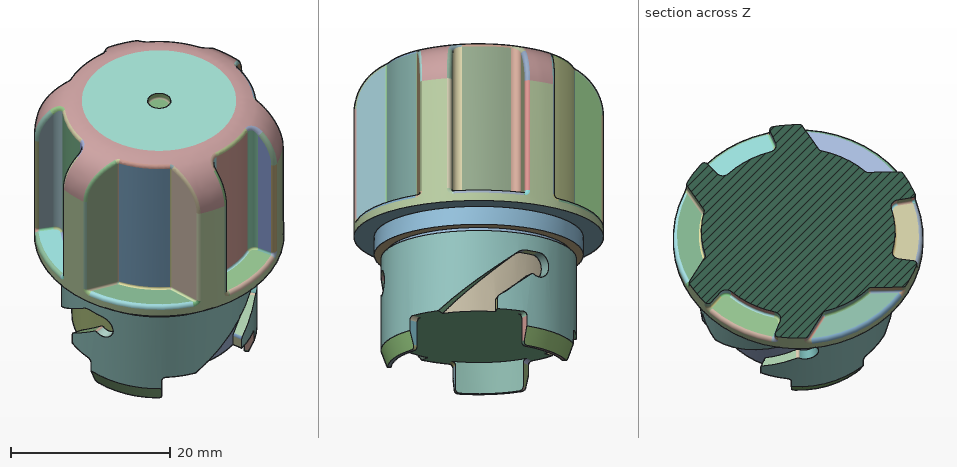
import cadquery as cq
import math

total_height = 39.38
knob_radius = 15.7
knob_bottom = 17.2
dome_radius = 6.0

collar_radius = 13.15
collar_bottom = 14.85
groove_radius = 11.75
groove_bottom = 14.3
shank_radius = 12.3
bore_radius = 11.0

pocket_floor = 18.7
pocket_inner_radius = 12.2
pocket_root_fillet = 0.25
rim_fillet = 0.5
narrow_half_width = 4.1
narrow_side_angle = 9.5
narrow_corner_fillet = 0.95
narrow_first_angle = 30.0
wide_half_width = 3.35
wide_side_angle = 60.0
wide_corner_fillet = 0.3
wide_first_angle = 90.0

recess_radius = 1.45
recess_depth = 0.85
recess_fillet = 0.2

repeat_count = 3
repeat_angle = 360.0 / repeat_count
tooth_height = 4.1
notch_start = 220.5
notch_end = 294.6
tooth_tip_radius = 11.46
tooth_taper_height = 2.25
tooth_tip_fillet = 0.5
tooth_root_fillet = 0.5

slot_radius = 1.6
slot_end_angle = 303.3
slot_end_height = 10.6
slot_ramp_angle = 36.8
slot_bend_radius = 2.0
slot_corner_fillet = 0.5
slot_nose_fillet = 0.4
slot_upper_start = 240.8
sleeve_spare_angle = 20.0
wall_steps = 8
slot_mouth_end = 276.2
slot_mouth_top = 5.75

tolerance = 0.001
margin = 1.0


def polar(radius, angle):
    """Point in the XY plane at a radius and an angle in degrees."""
    return (radius * math.cos(math.radians(angle)), radius * math.sin(math.radians(angle)))


def arc_length(angle):
    """Length along the shank surface for an angle in degrees."""
    return shank_radius * math.radians(angle)


def repeated(body, start=0.0):
    """List of copies of a body turned evenly around the Z axis."""
    return [body.rotate((0, 0, 0), (0, 0, 1), start + i * repeat_angle) for i in range(repeat_count)]


def ring_sector(inner, outer, start, end, bottom):
    """Outline of a sector between two radii and two angles, drawn at a height."""
    middle = (start + end) / 2
    return (
        cq.Workplane("XY").workplane(offset=bottom)
        .moveTo(*polar(inner, start))
        .lineTo(*polar(outer, start))
        .threePointArc(polar(outer, middle), polar(outer, end))
        .lineTo(*polar(inner, end))
        .threePointArc(polar(inner, middle), polar(inner, start))
        .close()
    )


def make_pocket(half_width, side_angle, corner_fillet):
    """Pocket cutter on the +X side: round back wall and flaring flat sides."""
    outer_x = knob_radius + margin
    inner_x = math.sqrt(pocket_inner_radius ** 2 - half_width ** 2)
    outer_half_width = half_width + (outer_x - inner_x) * math.tan(math.radians(side_angle))
    cutter = (
        cq.Workplane("XY").workplane(offset=pocket_floor)
        .moveTo(inner_x, -half_width)
        .lineTo(outer_x, -outer_half_width)
        .lineTo(outer_x, outer_half_width)
        .lineTo(inner_x, half_width)
        .threePointArc((pocket_inner_radius, 0), (inner_x, -half_width))
        .close()
        .extrude(total_height + margin - pocket_floor)
    )
    cutter = cutter.edges("|Z").edges("<X").fillet(corner_fillet)
    floor_edges = cutter.faces("<Z").edges("not(>X)")
    return floor_edges.fillet(pocket_root_fillet)


def make_knob():
    knob = (
        cq.Workplane("XY").workplane(offset=knob_bottom)
        .circle(knob_radius).extrude(total_height - knob_bottom)
        .faces(">Z").edges().fillet(dome_radius)
    )
    narrow = make_pocket(narrow_half_width, narrow_side_angle, narrow_corner_fillet)
    wide = make_pocket(wide_half_width, wide_side_angle, wide_corner_fillet)
    for cutter in repeated(narrow, narrow_first_angle) + repeated(wide, wide_first_angle):
        knob = knob.cut(cutter)
    return round_pocket_rims(knob)


def round_pocket_rims(knob):
    """Round the edges where the pockets break through the outside of the knob."""
    wall = max(knob.faces("%CYLINDER").vals(), key=lambda face: face.Area())
    dome = max(knob.faces("%TORUS").vals(), key=lambda face: face.Area())
    plain_heights = (knob_bottom, total_height - dome_radius, total_height)

    def is_rim(edge):
        box = edge.BoundingBox()
        is_level = box.zlen < tolerance
        on_plain_circle = is_level and any(abs(box.zmin - height) < tolerance for height in plain_heights)
        is_seam = abs(edge.Center().y) < tolerance
        return not (on_plain_circle or is_seam)

    rim = [edge for face in (wall, dome) for edge in face.Edges() if is_rim(edge)]
    return knob.newObject(rim).fillet(rim_fillet)


def make_recess():
    return (
        cq.Workplane("XY").workplane(offset=total_height - recess_depth)
        .circle(recess_radius).extrude(recess_depth + margin)
        .faces("<Z").edges().fillet(recess_fillet)
    )


def make_shank():
    """Revolved collar, groove and shank, bored out between the teeth."""
    return (
        cq.Workplane("XZ")
        .moveTo(0, tooth_height)
        .lineTo(bore_radius, tooth_height)
        .lineTo(bore_radius, 0)
        .lineTo(tooth_tip_radius, 0)
        .lineTo(shank_radius, tooth_taper_height)
        .lineTo(shank_radius, groove_bottom)
        .lineTo(groove_radius, groove_bottom)
        .lineTo(groove_radius, collar_bottom)
        .lineTo(collar_radius, collar_bottom)
        .lineTo(collar_radius, knob_bottom)
        .lineTo(0, knob_bottom)
        .close()
        .revolve(360, (0, 0, 0), (0, 1, 0))
    )


def make_notch():
    """Gap between two teeth, with rounded upper corners."""
    notch = (
        ring_sector(bore_radius - margin, shank_radius + margin, notch_start, notch_end, -margin)
        .extrude(tooth_height + margin)
    )
    return notch.faces(">Z").edges("%LINE").fillet(tooth_root_fillet)


def line_points(start, end):
    """Evenly spaced points along a straight line, both ends included."""
    return [
        (start[0] + (end[0] - start[0]) * i / wall_steps, start[1] + (end[1] - start[1]) * i / wall_steps)
        for i in range(wall_steps + 1)
    ]


def arc_points(center, radius, start, end):
    """Evenly spaced points along an arc between two angles, both ends included."""
    angles = [start + (end - start) * i / wall_steps for i in range(wall_steps + 1)]
    offsets = [polar(radius, angle) for angle in angles]
    return [(center[0] + x, center[1] + z) for x, z in offsets]


def slot_outline():
    """Stretches of the slot outline on the unrolled shank, as (arc length, height) points."""
    seat_center = (arc_length(slot_end_angle), slot_end_height)
    slot_top = slot_end_height + slot_radius
    bottom = tooth_height - margin
    ramp = math.radians(slot_ramp_angle)
    upper_start = arc_length(slot_upper_start)
    mouth_end = arc_length(slot_mouth_end)
    across_ramp = slot_ramp_angle + 90

    mouth_tangent = slot_corner_fillet * math.tan((math.pi / 2 - ramp) / 2)
    mouth_center = (mouth_end + slot_corner_fillet, slot_mouth_top - mouth_tangent)
    mouth_corner = arc_points(mouth_center, slot_corner_fillet, 180, across_ramp)

    length = seat_center[0] - mouth_end
    height = seat_center[1] - slot_mouth_top
    seat_offset = height * math.cos(ramp) - length * math.sin(ramp)
    nose_reach = slot_radius + slot_nose_fillet
    nose_drop = math.degrees(math.asin((seat_offset + slot_nose_fillet) / nose_reach))
    nose_angle = 180 + slot_ramp_angle + nose_drop
    nose_shift = polar(nose_reach, nose_angle)
    nose_center = (seat_center[0] + nose_shift[0], seat_center[1] + nose_shift[1])
    nose = arc_points(nose_center, slot_nose_fillet, across_ramp, nose_angle - 180)
    seat = arc_points(seat_center, slot_radius, nose_angle, 360 + 90)

    bend_corner = upper_start + (slot_top - tooth_height) / math.tan(ramp)
    bend_center = (bend_corner + slot_bend_radius * math.tan(ramp / 2), slot_top - slot_bend_radius)
    bend = arc_points(bend_center, slot_bend_radius, 90, across_ramp)

    mouth_bottom = (mouth_end, bottom)
    ramp_bottom = (upper_start - (tooth_height - bottom) / math.tan(ramp), bottom)
    return [
        line_points(mouth_bottom, mouth_corner[0]),
        mouth_corner,
        line_points(mouth_corner[-1], nose[0]),
        nose,
        seat,
        line_points(seat[-1], bend[0]),
        bend,
        line_points(bend[-1], ramp_bottom),
        line_points(ramp_bottom, mouth_bottom),
    ]


def wrapped_edge(points, radius):
    """Smooth edge through unrolled points wrapped onto a cylinder."""
    wrapped = []
    for length, height in points:
        x, y = polar(radius, math.degrees(length / shank_radius))
        wrapped.append(cq.Vector(x, y, height))
    return cq.Edge.makeSpline(wrapped)


def make_slot():
    """Bayonet slot cutter with radial walls: open mouth, helical ramp and round seat."""
    inner = bore_radius - margin
    outer = shank_radius + 2 * margin
    walls = [
        cq.Face.makeRuledSurface(wrapped_edge(points, inner), wrapped_edge(points, outer))
        for points in slot_outline()
    ]
    sleeve = ring_sector(bore_radius, shank_radius + margin, slot_upper_start - sleeve_spare_angle,
                         slot_end_angle + sleeve_spare_angle, 0).extrude(groove_bottom)
    pieces = sleeve.split(cq.Workplane(cq.Shell.makeShell(walls))).solids().vals()
    return cq.Workplane(min(pieces, key=lambda piece: piece.Volume()))


def make_body():
    body = make_shank()
    for notch in repeated(make_notch()):
        body = body.cut(notch)
    body = body.faces("<Z").edges("%LINE").fillet(tooth_tip_fillet)
    for slot in repeated(make_slot()):
        body = body.cut(slot)
    return body.union(make_knob()).cut(make_recess())


result = make_body()